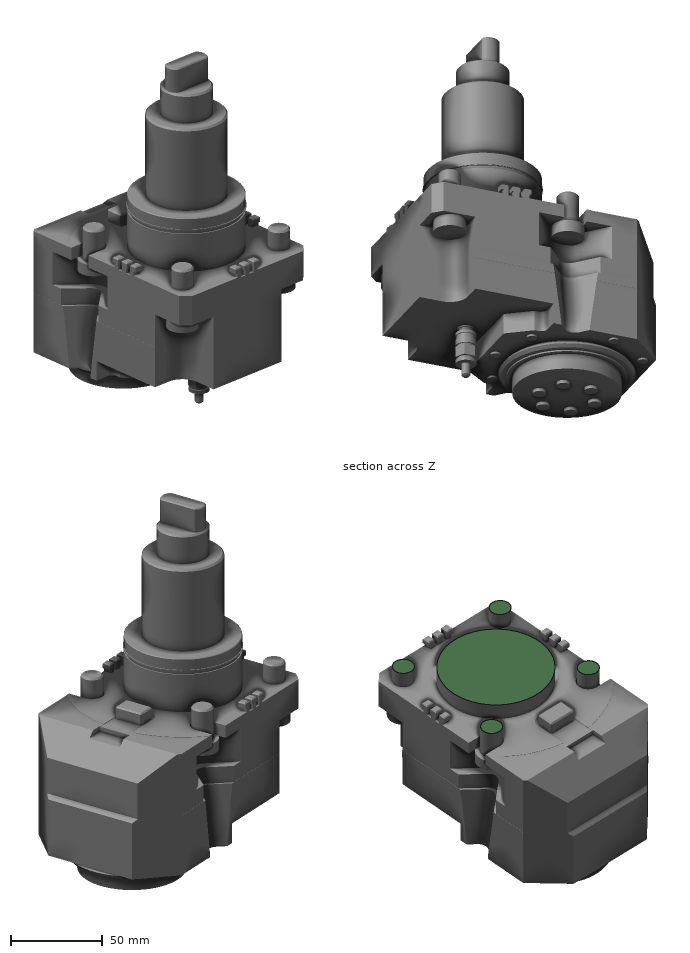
import cadquery as cq
import math


half_width = 47.0
front_x = -91.0
upper_front_x = -88.8
back_x = 48.4
front_half_width = 27.5
side_chamfer_x = front_x + half_width - front_half_width
top_bevel = 15.8
front_step_z = -37.3
front_step = upper_front_x - front_x
bottom_z = -61.5
foot_z = -73.4
corner_chamfer = 5.1
end_relief_radius = 64.4
relief_depth = 0.2
side_band_height = 0.1
side_band_bottom_z = -42.6

foot_shoulder_x = -22.0
foot_end_x = -1.8
foot_side_y = 34.8
foot_taper_x = -15.8
foot_end_half_width = 24.5
foot_corner_radius = 3.9

screw_x = 35.0
screw_y = 36.3
screw_radius = 6.2
screw_top_z = 11.9
screw_chamfer = 1.0
head_radius = 9.0
head_height = 6.8
front_plate = 7.4
back_plate = 17.6
notch_radius = 6.8
corner_pocket_radius = 10.7

vee_wall_angle = 49
upper_vee = 21.7
upper_vee_radius = 11.7
upper_floor_z = -27.5
middle_vee = 14.8
middle_vee_radius = 5.5
lower_vee_top = 13.1
lower_vee_bottom = 8.5
lower_vee_radius = 6.0
lower_taper_end_z = -72.4

tang_top_z = 112.3
tang_width = 10.2
tang_half_length = 13.7
tang_flat_half_length = 11.0
tang_chamfer = 0.6
neck_top_z = 98.0
neck_radius = 14.5
shank_top_z = 81.0
shank_radius = 22.5
collar_top_z = 32.0
collar_radius = 32.4
collar_chamfer = 0.5
edge_chamfer = 1.0
ring_z = 25.0
ring_radius = 32.8
ring_height = 0.8
groove_top_z = 24.4
groove_bottom_z = 22.5
groove_depth = 0.6

output_x = -50.0
output_neck_radius = 33.2
output_neck_z = -75.5
disc_radius = 37.5
disc_rim_radius = 36.0
disc_bottom_z = -79.1
output_throat_z = -80.0
nut_radius = 30.0
nut_bottom_z = -89.0
nut_face_radius = 20.3
nut_face_z = -90.8
lug_circle_radius = 16.5
lug_radius = 3.7
lug_count = 6
base_z = -92.7

bolt_circle_radius = 42.5
bolt_angles = (0, 40, -40, 104, -104, 144, -144)
bolt_head_radius = 2.9
bolt_head_height = 1.0

slot_half_width = 10.0
slot_depth = 3.7
slot_end_x = -66.8
recess_half_width = 9.5
recess_depth = 0.5
recess_end_x = -38.7
recess_corner_radius = 4.0
button_front_x = -53.7
button_back_x = -42.8
button_half_width = 8.6
button_height = 7.0
button_chamfer = 0.8

clip_height = 5.7
clip_head_height = 3.3
clip_depth = 5.0
clip_half_length = 9.0
clip_outer_stem_x = 7.5
clip_inner_tooth_x = 4.7
clip_middle_head = 2.3
clip_middle_stem = 1.6
clip_chamfer = 0.6
clip_pit_depth = 0.6

connector_x = 10.0
connector_hex_top_z = -73.5
connector_hex_bottom_z = -79.7
connector_hex_diameter = 12.3


def box(x_min, x_max, y_half, z_min, z_max):
    """Box that is symmetric about the XZ plane."""
    return (
        cq.Workplane("XY")
        .box(x_max - x_min, 2 * y_half, z_max - z_min, centered=(False, True, False))
        .translate((x_min, 0, z_min))
    )


def cylinder(x, y, radius, z_min, z_max):
    return cq.Workplane("XY", origin=(x, y, z_min)).circle(radius).extrude(z_max - z_min)


def with_mirror(solid):
    """The solid together with its mirror image across the XZ plane."""
    return solid.union(solid.mirror("XZ"))


def make_housing():
    profile = [
        (upper_front_x + top_bevel, 0),
        (back_x, 0),
        (back_x, bottom_z),
        (foot_end_x, bottom_z),
        (foot_end_x, foot_z),
        (front_x, foot_z),
        (front_x, front_step_z - front_step),
        (upper_front_x, front_step_z),
        (upper_front_x, -top_bevel),
    ]
    side = cq.Workplane("XZ").polyline(profile).close().extrude(half_width, both=True)
    outline = [
        (front_x, -front_half_width),
        (side_chamfer_x, -half_width),
        (back_x - corner_chamfer, -half_width),
        (back_x, -half_width + corner_chamfer),
        (back_x, half_width - corner_chamfer),
        (back_x - corner_chamfer, half_width),
        (side_chamfer_x, half_width),
        (front_x, front_half_width),
    ]
    plan = cq.Workplane("XY").workplane(offset=foot_z).polyline(outline).close().extrude(-foot_z)
    return side.intersect(plan)


def make_foot_cut():
    """Material removed beside the narrow end of the foot, on the -Y side."""
    outline = [
        (foot_shoulder_x, -half_width),
        (foot_shoulder_x, -foot_side_y),
        (foot_taper_x, -foot_side_y),
        (foot_end_x, -foot_end_half_width),
        (foot_end_x, -half_width),
    ]
    cut = cq.Workplane("XY", origin=(0, 0, foot_z)).polyline(outline).close().extrude(bottom_z - foot_z)
    corner = cq.selectors.NearestToPointSelector((foot_shoulder_x, -foot_side_y, (bottom_z + foot_z) / 2))
    return cut.edges("|Z").edges(corner).fillet(foot_corner_radius)


def make_end_relief():
    """Shallow relief of the top face at the front end, outside a circle about the spindle."""
    end = box(front_x, 0, half_width, -relief_depth, 0)
    return end.cut(cylinder(0, 0, end_relief_radius, -relief_depth, 0))


def make_side_bands():
    """Slightly raised band along both sides, reaching the back screw pockets."""
    band_end_x = screw_x - corner_pocket_radius
    return box(side_chamfer_x, band_end_x, half_width + side_band_height, side_band_bottom_z, front_step_z)


def vee_wire(half_opening, radius, z):
    """V opening toward -Y with a rounded corner; it runs past the side face to clear the raised band."""
    slope = math.tan(math.radians(vee_wall_angle))
    apex_y = half_opening * slope - half_width
    mouth_y = -half_width - side_band_height
    mouth_x = half_opening + side_band_height / slope
    tangent_x = radius * math.sin(math.radians(vee_wall_angle))
    tangent_y = apex_y - tangent_x * slope
    arc_y = apex_y - radius * (1 / math.cos(math.radians(vee_wall_angle)) - 1)
    return (
        cq.Workplane("XY", origin=(-screw_x, 0, z))
        .moveTo(-mouth_x, mouth_y)
        .lineTo(-tangent_x, tangent_y)
        .threePointArc((0, arc_y), (tangent_x, tangent_y))
        .lineTo(mouth_x, mouth_y)
        .close()
    )


def make_front_pocket():
    """Screw notch through the top plate and the three pocket levels below it."""
    notch = cylinder(-screw_x, -screw_y, notch_radius, -front_plate, 0)
    notch_mouth = (
        cq.Workplane("XY")
        .box(2 * notch_radius, half_width - screw_y, front_plate, centered=(True, False, False))
        .translate((-screw_x, -half_width, -front_plate))
    )
    upper = vee_wire(upper_vee, upper_vee_radius, upper_floor_z).extrude(-front_plate - upper_floor_z)
    middle = vee_wire(middle_vee, middle_vee_radius, front_step_z).extrude(upper_floor_z - front_step_z)
    lower_top = vee_wire(lower_vee_top, lower_vee_radius, front_step_z).val()
    lower_bottom = vee_wire(lower_vee_bottom, lower_vee_radius, lower_taper_end_z).val()
    lower = cq.Workplane(cq.Solid.makeLoft([lower_bottom, lower_top], True))
    exit_cut = vee_wire(lower_vee_bottom, lower_vee_radius, foot_z).extrude(lower_taper_end_z - foot_z)
    return notch.union(notch_mouth).union(upper).union(middle).union(lower).union(exit_cut)


def make_back_pocket():
    """Open corner pocket below the top plate, rounded around the back screw."""
    pocket_x = screw_x - corner_pocket_radius
    pocket_y = -screw_y + corner_pocket_radius
    pocket = (
        cq.Workplane("XY")
        .box(back_x - pocket_x, pocket_y + half_width, -back_plate - bottom_z, centered=False)
        .edges("|Z and <X and >Y")
        .fillet(corner_pocket_radius)
    )
    return pocket.translate((pocket_x, -half_width, bottom_z))


def make_screw(x, plate):
    shank = cylinder(x, -screw_y, screw_radius, -plate, screw_top_z)
    shank = shank.faces(">Z").chamfer(screw_chamfer)
    return shank.union(cylinder(x, -screw_y, head_radius, -plate - head_height, -plate))


def make_spindle():
    profile = [
        (0, 0),
        (collar_radius, 0),
        (collar_radius, groove_bottom_z),
        (collar_radius - groove_depth, groove_bottom_z),
        (collar_radius - groove_depth, groove_top_z),
        (collar_radius, groove_top_z),
        (collar_radius, collar_top_z - collar_chamfer),
        (collar_radius - collar_chamfer, collar_top_z),
        (shank_radius, collar_top_z),
        (shank_radius, shank_top_z - edge_chamfer),
        (shank_radius - edge_chamfer, shank_top_z),
        (neck_radius, shank_top_z),
        (neck_radius, neck_top_z - edge_chamfer),
        (neck_radius - edge_chamfer, neck_top_z),
        (0, neck_top_z),
    ]
    body = cq.Workplane("XZ").polyline(profile).close().revolve()
    ring = cylinder(0, 0, ring_radius, ring_z - ring_height / 2, ring_z + ring_height / 2)
    tang = (
        cq.Workplane("XY", origin=(0, 0, neck_top_z))
        .moveTo(-tang_width / 2, -tang_flat_half_length)
        .threePointArc((0, -tang_half_length), (tang_width / 2, -tang_flat_half_length))
        .lineTo(tang_width / 2, tang_flat_half_length)
        .threePointArc((0, tang_half_length), (-tang_width / 2, tang_flat_half_length))
        .close()
        .extrude(tang_top_z - neck_top_z)
    )
    tang = tang.faces(">Z").chamfer(tang_chamfer)
    return body.union(ring).union(tang)


def make_output():
    profile = [
        (0, foot_z),
        (output_neck_radius, foot_z),
        (output_neck_radius, output_neck_z),
        (disc_rim_radius, output_neck_z),
        (disc_radius, (output_neck_z + disc_bottom_z) / 2),
        (disc_rim_radius, disc_bottom_z),
        (output_neck_radius, disc_bottom_z),
        (output_neck_radius, output_throat_z),
        (nut_radius, output_throat_z),
        (nut_radius, nut_bottom_z),
        (nut_face_radius, nut_face_z),
        (0, nut_face_z),
    ]
    output = cq.Workplane("XZ").polyline(profile).close().revolve()
    lugs = (
        cq.Workplane("XY", origin=(0, 0, base_z))
        .polarArray(lug_circle_radius, 0, 360, lug_count)
        .circle(lug_radius)
        .extrude(nut_bottom_z - base_z)
    )
    output = output.union(lugs)
    for angle in bolt_angles:
        x = bolt_circle_radius * math.cos(math.radians(angle))
        y = bolt_circle_radius * math.sin(math.radians(angle))
        output = output.union(cylinder(x, y, bolt_head_radius, foot_z - bolt_head_height, foot_z))
    return output.translate((output_x, 0, 0))


def make_button_recess():
    slot = box(front_x, slot_end_x, slot_half_width, -slot_depth, 0)
    recess = box(slot_end_x, recess_end_x, recess_half_width, -recess_depth, 0)
    return slot.union(recess.edges("|Z and >X").fillet(recess_corner_radius))


def make_button():
    button = box(button_front_x, button_back_x, button_half_width, -recess_depth, button_height)
    return button.edges(">Z or |Z").chamfer(button_chamfer)


def make_clip():
    """Clip standing on the -Y edge of the housing."""
    head_z = clip_height - clip_head_height
    stems = (
        (-clip_outer_stem_x, -clip_inner_tooth_x),
        (-clip_middle_stem, clip_middle_stem),
        (clip_inner_tooth_x, clip_outer_stem_x),
    )
    heads = (
        (-clip_half_length, -clip_inner_tooth_x),
        (-clip_middle_head, clip_middle_head),
        (clip_inner_tooth_x, clip_half_length),
    )
    clip = cq.Workplane("XY")
    for stem, head in zip(stems, heads):
        clip = clip.union(box(*stem, clip_depth / 2, 0, head_z))
        head_block = box(*head, clip_depth / 2, head_z, clip_height)
        clip = clip.union(head_block.faces(">Z").chamfer(clip_chamfer))
    return clip.translate((0, clip_depth / 2 - half_width, 0))


def make_clip_pits():
    """Shallow pits in the top face between the teeth of the clip on the -Y edge."""
    pit = box(clip_middle_stem, clip_inner_tooth_x, clip_depth / 2, -clip_pit_depth, 0)
    return pit.union(pit.mirror("YZ")).translate((0, clip_depth / 2 - half_width, 0))


def move_to_back_edge(solid):
    """Turn a shape from the -Y edge of the housing onto its +X edge."""
    return solid.translate((0, half_width - back_x, 0)).rotate((0, 0, 0), (0, 0, 1), 90)


def make_connector():
    sections = (
        (4.7, -62.3),
        (4.0, -64.8),
        (5.7, -66.5),
        (5.1, -68.9),
        (5.7, -72.4),
        (5.0, connector_hex_top_z),
        (4.5, -81.2),
        (5.7, -83.2),
        (2.5, nut_face_z),
    )
    connector = cq.Workplane("XY")
    top_z = bottom_z
    for radius, end_z in sections:
        connector = connector.union(cylinder(0, 0, radius, end_z, top_z))
        top_z = end_z
    connector = connector.faces("<Z").chamfer(edge_chamfer)
    hexagon = (
        cq.Workplane("XY", origin=(0, 0, connector_hex_bottom_z))
        .polygon(6, connector_hex_diameter)
        .extrude(connector_hex_top_z - connector_hex_bottom_z)
    )
    return connector.union(hexagon).translate((connector_x, 0, 0))


edge_clip = make_clip()
clip_pits = make_clip_pits()

housing = (
    make_housing()
    .union(make_side_bands())
    .cut(make_end_relief())
    .cut(make_button_recess())
    .cut(with_mirror(make_foot_cut()))
    .cut(with_mirror(make_front_pocket()))
    .cut(with_mirror(make_back_pocket()))
    .cut(with_mirror(clip_pits))
    .cut(move_to_back_edge(clip_pits))
)

result = (
    housing
    .union(with_mirror(make_screw(-screw_x, front_plate)))
    .union(with_mirror(make_screw(screw_x, back_plate)))
    .union(with_mirror(edge_clip))
    .union(move_to_back_edge(edge_clip))
    .union(make_button())
    .union(make_spindle())
    .union(make_output())
    .union(make_connector())
)